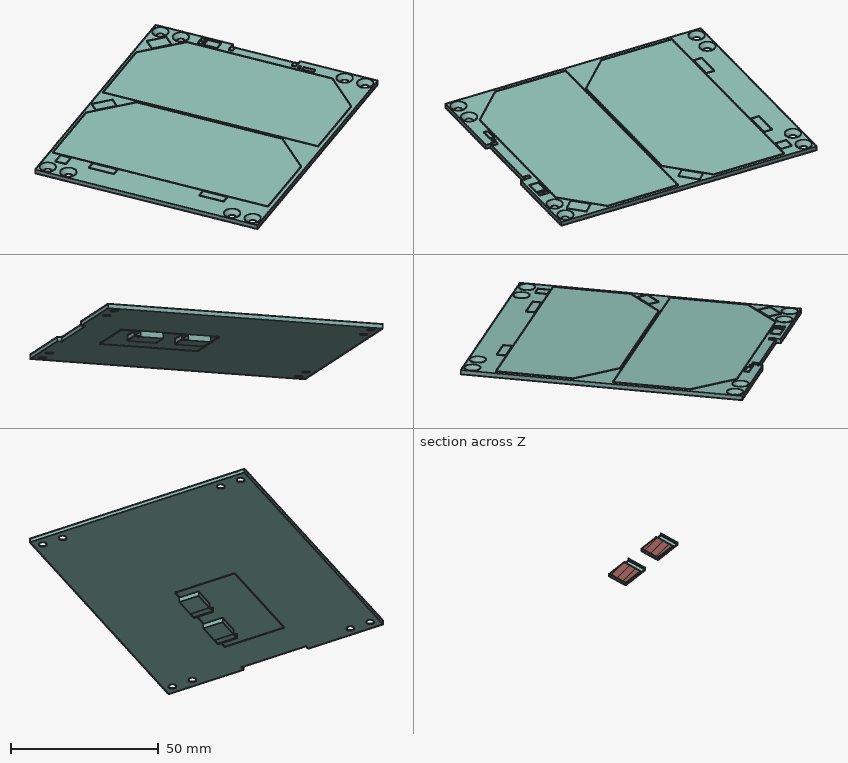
import cadquery as cq

board_width = 82.6
board_length = 98.0
board_thickness = 1.6
notch_width = 24.9
notch_depth = 1.6

hole_diameter = 2.5
sink_diameter = 5.6
sink_angle = 90.0
hole_edge_distance = 3.2
hole_pair_spacing = 7.6

cell_width = 80.0
cell_length = 40.0
cell_thickness = 0.22
cell_corner = 12.9
cell_gap = 0.8
cell_center_x = -0.2
upper_cell_top_y = 43.6

pad_height = cell_thickness

left_row_top_y = 47.8
left_row_bottom_y = 44.4
small_pad_x = (-23.6, -22.1)
small_pad_gap = 0.1
large_pad_x = (-21.4, -16.4)

notch_pad_width = 1.5
notch_pad_length = 2.1
notch_pad_setback = 0.2

right_row_top_y = 46.0
square_pad_x = (13.4, 14.2)
square_pad_bottom_y = 44.8
strip_pad_x = (15.2, 19.5)
strip_pad_bottom_y = 44.4

bottom_row_top_y = -37.4
corner_pad_x = (-37.1, -33.2)
corner_pad_bottom_y = -41.7
long_pad_xs = ((-25.2, -15.9), (15.9, 24.9))
long_pad_bottom_y = -40.6

tab_angle = 45
upper_tab_center = (-35.6, 39.3)
upper_tab_length = 7.1
upper_tab_width = 5.0
lower_tab_center = (-36.6, -3.2)
lower_tab_length = 7.5
lower_tab_width = 4.1

plate_thickness = 0.22
plate_min_x = -11.8
plate_max_x = 11.2
plate_min_y = -0.6
plate_max_y = 34.4
connector_width = 7.35
connector_length = 10.4
connector_height = 1.9
connector_min_ys = (19.4, 2.45)
connector_body_length = 8.0
connector_wall = 0.2
connector_floor = 0.3


def block(min_x, max_x, min_y, max_y, bottom_z, height):
    """Box given by its X and Y limits, its bottom level and its height."""
    return cq.Workplane("XY").box(
        max_x - min_x, max_y - min_y, height, centered=False
    ).translate((min_x, min_y, bottom_z))


def make_board():
    board = block(
        -board_width / 2, board_width / 2, -board_length / 2, board_length / 2,
        -board_thickness, board_thickness,
    )
    notch = block(
        -notch_width / 2, notch_width / 2, board_length / 2 - notch_depth, board_length / 2,
        -board_thickness, board_thickness,
    )
    return board.cut(notch)


def hole_points():
    outer_x = board_width / 2 - hole_edge_distance
    hole_y = board_length / 2 - hole_edge_distance
    points = []
    for x in (outer_x, outer_x - hole_pair_spacing):
        for side_x in (-1, 1):
            for side_y in (-1, 1):
                points.append((side_x * x, side_y * hole_y))
    return points


def make_cell(top_y):
    cell = block(
        cell_center_x - cell_width / 2, cell_center_x + cell_width / 2,
        top_y - cell_length, top_y, 0, cell_thickness,
    )
    return cell.edges("|Z and >Y").chamfer(cell_corner)


def make_pad(x_limits, bottom_y, top_y):
    return block(*x_limits, bottom_y, top_y, 0, pad_height)


def make_tab(center, length, width):
    """Pad turned to lie along the clipped corner of a cell."""
    tab = cq.Workplane("XY").box(length, width, pad_height, centered=(True, True, False))
    return tab.rotate((0, 0, 0), (0, 0, 1), tab_angle).translate((*center, 0))


def make_left_row():
    middle_y = (left_row_top_y + left_row_bottom_y) / 2
    return [
        make_pad(small_pad_x, middle_y + small_pad_gap / 2, left_row_top_y),
        make_pad(small_pad_x, left_row_bottom_y, middle_y - small_pad_gap / 2),
        make_pad(large_pad_x, left_row_bottom_y, left_row_top_y),
    ]


def make_notch_pads():
    end_x = notch_width / 2
    inner_x = end_x - notch_pad_width
    top_y = board_length / 2 - notch_depth - notch_pad_setback
    bottom_y = top_y - notch_pad_length
    return [
        make_pad((-end_x, -inner_x), bottom_y, top_y),
        make_pad((inner_x, end_x), bottom_y, top_y),
    ]


def make_right_row():
    return [
        make_pad(square_pad_x, square_pad_bottom_y, right_row_top_y),
        make_pad(strip_pad_x, strip_pad_bottom_y, right_row_top_y),
    ]


def make_bottom_row():
    pads = [make_pad(corner_pad_x, corner_pad_bottom_y, bottom_row_top_y)]
    for long_pad_x in long_pad_xs:
        pads.append(make_pad(long_pad_x, long_pad_bottom_y, bottom_row_top_y))
    return pads


def make_tabs():
    return [
        make_tab(upper_tab_center, upper_tab_length, upper_tab_width),
        make_tab(lower_tab_center, lower_tab_length, lower_tab_width),
    ]


def make_connector(min_y):
    """Connector hanging from the plate, with a slot along X next to its +Y wall."""
    top_z = -board_thickness - plate_thickness
    bottom_z = top_z - connector_height
    max_x = plate_min_x + connector_width
    body = block(plate_min_x, max_x, min_y, min_y + connector_length, bottom_z, connector_height)
    slot = block(
        plate_min_x, max_x,
        min_y + connector_body_length, min_y + connector_length - connector_wall,
        bottom_z + connector_floor, connector_height - connector_floor,
    )
    return body.cut(slot)


result = make_board()
result = (
    result.faces(">Z").workplane(origin=(0, 0, 0))
    .pushPoints(hole_points())
    .cskHole(hole_diameter, sink_diameter, sink_angle)
)

lower_cell_top_y = upper_cell_top_y - cell_length - cell_gap
for cell_top_y in (upper_cell_top_y, lower_cell_top_y):
    result = result.union(make_cell(cell_top_y))

pads = make_left_row() + make_notch_pads() + make_right_row() + make_bottom_row() + make_tabs()
for pad in pads:
    result = result.union(pad)

result = result.union(block(
    plate_min_x, plate_max_x, plate_min_y, plate_max_y,
    -board_thickness - plate_thickness, plate_thickness,
))
for connector_min_y in connector_min_ys:
    result = result.union(make_connector(connector_min_y))